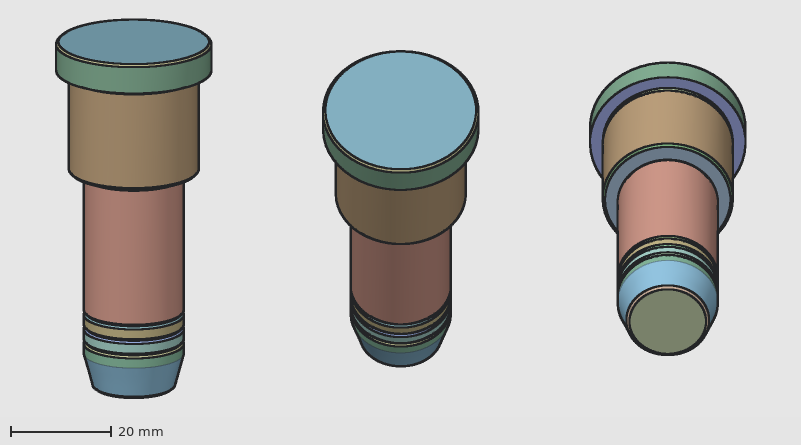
import cadquery as cq
import math

total_length = 72.0
head_diameter = 31.0
head_height = 6.0
body_diameter = 26.0
body_end_depth = 27.0
neck_diameter = 19.0
neck_height = 1.0
shank_diameter = 20.0
tip_length = 7.0
tip_half_angle = 15.0
edge_chamfer = 0.5

groove_depth = 0.5
groove_width = 2 * groove_depth
groove_count = 3
groove_pitch = 3.0
lowest_groove_height = 9.5

head_bottom = total_length - head_height
body_bottom = total_length - body_end_depth
neck_bottom = body_bottom - neck_height
tip_end_radius = shank_diameter / 2 - tip_length * math.tan(math.radians(tip_half_angle))


def cylinder(diameter, bottom, top):
    """Solid cylinder on the Z axis between two heights."""
    return cq.Workplane("XY").workplane(offset=bottom).circle(diameter / 2).extrude(top - bottom)


def v_groove(diameter, height):
    """Ring cutter for a V-groove centred at a height on a cylinder."""
    surface = diameter / 2
    return (
        cq.Workplane("XZ")
        .moveTo(surface, height - groove_width / 2)
        .lineTo(surface - groove_depth, height)
        .lineTo(surface, height + groove_width / 2)
        .close()
        .revolve(360, (0, 0, 0), (0, 1, 0))
    )


def tapered_tip():
    """Lead-in cone below the shank, with a chamfered end."""
    cone = (
        cq.Workplane("XY")
        .circle(tip_end_radius)
        .workplane(offset=tip_length)
        .circle(shank_diameter / 2)
        .loft()
    )
    return cone.faces("<Z").chamfer(edge_chamfer)


head = cylinder(head_diameter, head_bottom, total_length).faces(">Z").chamfer(edge_chamfer)
body = cylinder(body_diameter, body_bottom, head_bottom).faces("<Z").chamfer(edge_chamfer)
neck = cylinder(neck_diameter, neck_bottom, body_bottom)
shank = cylinder(shank_diameter, tip_length, neck_bottom)

body = body.cut(v_groove(body_diameter, head_bottom - groove_width / 2))

for index in range(groove_count):
    shank = shank.cut(v_groove(shank_diameter, lowest_groove_height + index * groove_pitch))

result = head.union(body).union(neck).union(shank).union(tapered_tip())